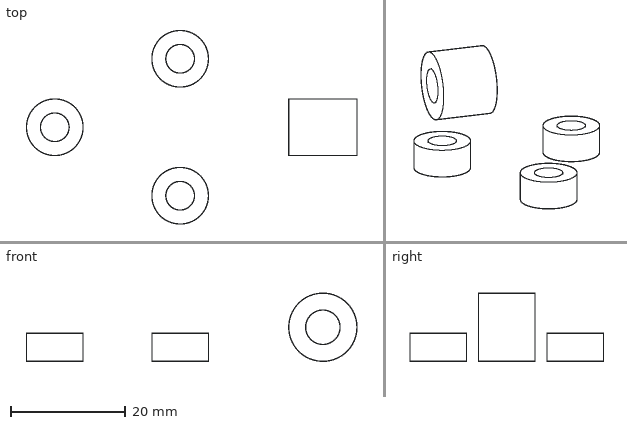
import cadquery as cq

overall_length = 58.0

spacer_diameter = 10.0
spacer_bore = spacer_diameter / 2
spacer_height = spacer_diameter / 2

roller_diameter = 12.0
roller_bore = roller_diameter / 2
roller_length = 10.0

single_spacer_x = -overall_length / 2 + spacer_diameter / 2
pair_distance_x = 22.0
pair_offset_y = 12.0
pair_x = single_spacer_x + pair_distance_x
roller_x = overall_length / 2 - roller_diameter / 2

spacer_positions = [
    (single_spacer_x, 0),
    (pair_x, pair_offset_y),
    (pair_x, -pair_offset_y),
]


def make_spacer(x, y):
    """Upright ring standing on Z = 0."""
    return (
        cq.Workplane("XY")
        .center(x, y)
        .circle(spacer_diameter / 2)
        .circle(spacer_bore / 2)
        .extrude(spacer_height)
    )


def make_roller():
    """Ring with a horizontal axis, centred on Y = 0 and touching Z = 0."""
    return (
        cq.Workplane("XZ", origin=(0, roller_length / 2, 0))
        .center(roller_x, roller_diameter / 2)
        .circle(roller_diameter / 2)
        .circle(roller_bore / 2)
        .extrude(roller_length)
    )


spacers = [make_spacer(x, y) for x, y in spacer_positions]
roller = make_roller()

result = cq.Compound.makeCompound([roller.val(), *[spacer.val() for spacer in spacers]])